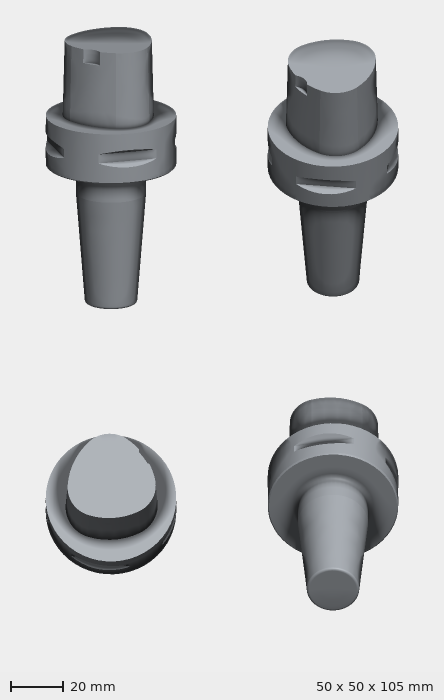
import cadquery as cq
import math


taper_height = 30.0
taper_diameter_ratio = 1 / 20
taper_half_angle = math.degrees(math.atan(taper_diameter_ratio / 2))
lobe_count = 3
first_flank_angle = -90.0
corner_center_distance = 6.3
corner_radius = 12.2
flank_distance = 16.4

notch_radius = 5.5
notch_height = 5.4
notch_wall_distance = 14.1

flange_diameter = 50.0
flange_height = 20.0
flange_chamfer = 0.5

groove_count = 4
groove_first_angle = 45.0
groove_z = -flange_height / 2
groove_floor_distance = 22.15
groove_floor_height = 3.6
groove_wall_angle = 30.0

neck_diameter = 26.9
neck_length = 11.0
neck_fillet = 2.0
tip_diameter = 20.0
tip_fillet = 1.0
nose_length = 55.0


def polar_point(center, radius, angle):
    """Point at a radius and an angle in degrees from a center."""
    turn = math.radians(angle)
    return (center[0] + radius * math.cos(turn), center[1] + radius * math.sin(turn))


def make_taper():
    """Three-lobed polygon, drafted inward toward its top."""
    corner_offset = flank_distance - corner_radius
    half_lobe = 180 / lobe_count
    inset = corner_center_distance * math.cos(math.radians(half_lobe))
    flank_center_distance = (corner_center_distance**2 - corner_offset**2) / (2 * (corner_offset - inset))
    flank_radius = flank_distance + flank_center_distance
    half_chord = corner_center_distance * math.sin(math.radians(half_lobe))
    flank_half_angle = math.degrees(math.asin(half_chord / (flank_radius - corner_radius)))

    origin = (0, 0)
    flank_start = polar_point(origin, flank_center_distance, first_flank_angle + 180)
    start = polar_point(flank_start, flank_radius, first_flank_angle - flank_half_angle)
    outline = cq.Workplane("XY").moveTo(*start)
    for lobe in range(lobe_count):
        flank_angle = first_flank_angle + 2 * half_lobe * lobe
        corner_angle = flank_angle + half_lobe
        next_flank_angle = corner_angle + half_lobe
        flank_center = polar_point(origin, flank_center_distance, flank_angle + 180)
        corner_center = polar_point(origin, corner_center_distance, corner_angle)
        flank_middle = polar_point(origin, flank_distance, flank_angle)
        flank_end = polar_point(flank_center, flank_radius, flank_angle + flank_half_angle)
        corner_middle = polar_point(corner_center, corner_radius, corner_angle)
        corner_end = polar_point(corner_center, corner_radius, next_flank_angle - flank_half_angle)
        outline = outline.threePointArc(flank_middle, flank_end)
        outline = outline.threePointArc(corner_middle, corner_end)
    return outline.close().extrude(taper_height, taper=taper_half_angle)


def make_notch():
    """Upright cylinder that scoops the keyway out of the flank."""
    return (
        cq.Workplane("XY", origin=(0, -notch_wall_distance - notch_radius, taper_height - notch_height))
        .circle(notch_radius)
        .extrude(notch_height)
    )


def make_flange():
    """Disc with its lower rim chamfered."""
    flange = cq.Workplane("XY").circle(flange_diameter / 2).extrude(-flange_height)
    return flange.faces("<Z").edges().chamfer(flange_chamfer)


def make_groove(angle):
    """Straight trapezoidal cutter, narrowing inward to a flat floor."""
    rim_distance = flange_diameter / 2
    floor_half = groove_floor_height / 2
    flare = (rim_distance - groove_floor_distance) * math.tan(math.radians(groove_wall_angle))
    rim_half = floor_half + flare
    return (
        cq.Workplane("XZ")
        .moveTo(groove_floor_distance, groove_z - floor_half)
        .lineTo(rim_distance, groove_z - rim_half)
        .lineTo(rim_distance, groove_z + rim_half)
        .lineTo(groove_floor_distance, groove_z + floor_half)
        .close()
        .extrude(flange_diameter / 2, both=True)
        .rotate((0, 0, 0), (0, 0, 1), angle)
    )


def make_nose():
    """Revolved nose: fillet below the flange, cylindrical neck, cone, rounded tip."""
    neck_radius = neck_diameter / 2
    top_z = -flange_height
    tip_z = top_z - nose_length
    nose = (
        cq.Workplane("XZ")
        .moveTo(0, top_z)
        .lineTo(neck_radius + neck_fillet, top_z)
        .radiusArc((neck_radius, top_z - neck_fillet), -neck_fillet)
        .lineTo(neck_radius, top_z - neck_length)
        .lineTo(tip_diameter / 2, tip_z)
        .lineTo(0, tip_z)
        .close()
        .revolve(360, (0, 0, 0), (0, 1, 0))
    )
    return nose.faces("<Z").edges().fillet(tip_fillet)


flange = make_flange()
for index in range(groove_count):
    flange = flange.cut(make_groove(groove_first_angle + index * 360 / groove_count))

taper = make_taper().cut(make_notch())
result = flange.union(taper).union(make_nose())